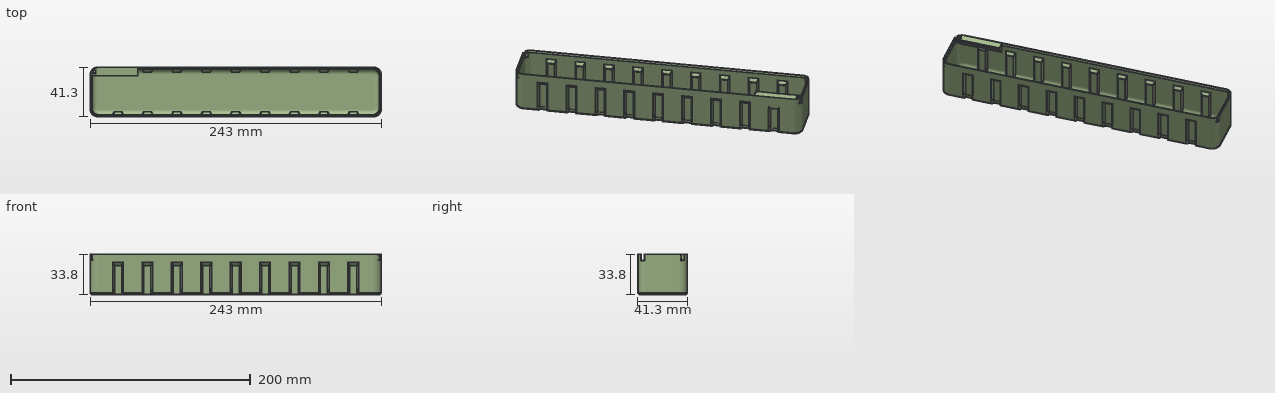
import cadquery as cq
import math

length = 243.0
width = 41.3
height = 33.8
corner_radius = 6.8
wall = 1.7
floor = 1.7
floor_fillet = 4.1
bottom_chamfer = 1.5
rim_thickness = 0.5

flute_count = 9
flute_pitch = 24.5
groove_width = 9.0
groove_depth = 3.2
groove_side_run = 1.58
groove_top = 27.2
rib_width = 8.7
rib_depth = 2.5
rib_side_run = 1.2
rib_top = 27.7

shelf_length = 39.9
shelf_reach = 7.3
shelf_edge = 1.7
shelf_slope = math.radians(51)

notch_inset = 2.7
notch_width = 2.7
notch_depth = 5.0
notch_reach = 4.9


def rounded_block(inset, bottom, top=height):
    """Block with upright sides, set in from the tray outline by a constant distance."""
    block = cq.Workplane("XY", origin=(0, 0, bottom))
    block = block.rect(length - 2 * inset, width - 2 * inset).extrude(top - bottom)
    return block.edges("|Z").fillet(corner_radius - inset)


def open_tray():
    outside = rounded_block(0, 0).faces("<Z").edges().chamfer(bottom_chamfer)
    cavity = rounded_block(wall, floor).faces("<Z").edges().fillet(floor_fillet)
    return outside.cut(cavity)


def rim_bevel():
    """45 degree opening that thins the wall towards its top edge."""
    bevel_height = wall - rim_thickness
    mouth = rounded_block(rim_thickness, height - bevel_height, height + bevel_height)
    return mouth.faces("<Z").edges().chamfer(bevel_height)


def flute(inset, mouth_width, depth, side_run, top, bottom):
    """Upright prism on the -Y wall that narrows inward and has a 45 degree top."""
    mouth_y = -width / 2 + inset
    tip_y = mouth_y + depth
    half_mouth = mouth_width / 2
    half_tip = half_mouth - side_run
    plan = [(-half_mouth, mouth_y), (half_mouth, mouth_y), (half_tip, tip_y), (-half_tip, tip_y)]
    side = [(mouth_y, bottom), (mouth_y, top), (tip_y, top - depth), (tip_y, bottom)]
    column = cq.Workplane("XY").polyline(plan).close().extrude(height)
    profile = cq.Workplane("YZ", origin=(-half_mouth, 0, 0)).polyline(side).close().extrude(mouth_width)
    return column.intersect(profile)


def along_both_walls(shape):
    """Copies of a -Y wall shape at every flute position, on both long walls."""
    pair = shape.union(shape.mirror("XZ"))
    first_x = -(flute_count - 1) * flute_pitch / 2
    row = pair.translate((first_x, 0, 0))
    for index in range(1, flute_count):
        row = row.union(pair.translate((first_x + index * flute_pitch, 0, 0)))
    return row


def label_shelf():
    back = width / 2
    front = back - shelf_reach
    front_bottom = height - shelf_edge
    back_bottom = front_bottom - shelf_reach * math.tan(shelf_slope)
    section = [(back, height), (front, height), (front, front_bottom), (back, back_bottom)]
    wedge = cq.Workplane("YZ", origin=(-length / 2, 0, 0)).polyline(section).close().extrude(shelf_length)
    return wedge.intersect(rounded_block(0, 0))


def rim_notches():
    spacing_x = length - notch_reach
    spacing_y = width - 2 * notch_inset - notch_width
    centers = cq.Workplane("XY", origin=(0, 0, height - notch_depth)).rarray(spacing_x, spacing_y, 2, 2)
    return centers.rect(notch_reach, notch_width).extrude(notch_depth)


rib = flute(wall, rib_width, rib_depth, rib_side_run, rib_top, floor / 2)
groove = flute(0, groove_width, groove_depth, groove_side_run, groove_top, 0)

result = open_tray().cut(rim_bevel())
result = result.union(along_both_walls(rib)).cut(along_both_walls(groove))
result = result.union(label_shelf()).cut(rim_notches())